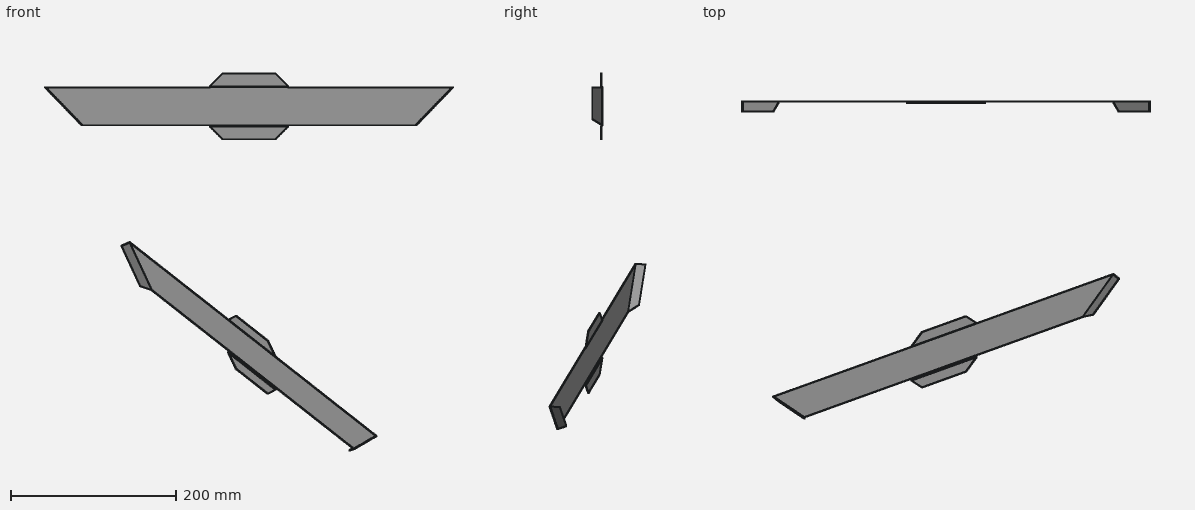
import cadquery as cq
import math

length = 493.5
depth = 13.0
plate_height = 46.0
sheet = 1.0
end_run = 44.5
end_slope = math.atan2(plate_height, end_run)
end_length = math.hypot(plate_height, end_run)
half_length = length / 2
half_height = plate_height / 2

mitre_run = 10.0
flange_width = sheet / math.sin(end_slope)

overall_height = 80.0
tab_base_width = 94.5
tab_offset = 1.5
step_height = 1.5
tab_base_z = half_height + step_height
tab_tip_z = overall_height / 2
tab_taper = tab_tip_z - tab_base_z
half_base = tab_base_width / 2
half_tip = half_base - tab_taper


def extrude_along_y(points, front, back):
    """Extrude an XZ outline between two Y positions."""
    return cq.Workplane("XZ", origin=(0, back, 0)).polyline(points).close().extrude(back - front)


def make_plate():
    outline = [
        (-half_length, half_height),
        (half_length, half_height),
        (half_length - end_run, -half_height),
        (-half_length + end_run, -half_height),
    ]
    return extrude_along_y(outline, 0, sheet)


def make_left_flange():
    outline = [
        (-half_length, half_height),
        (-half_length + flange_width, half_height),
        (-half_length + end_run + flange_width, -half_height),
        (-half_length + end_run, -half_height),
    ]
    front = sheet - depth
    strip = extrude_along_y(outline, front, sheet)
    profile = [
        (0, sheet),
        (0, front),
        (end_length - mitre_run, front),
        (end_length, 0),
        (end_length, sheet),
    ]
    fold_plane = cq.Plane(
        origin=(-half_length, 0, half_height),
        xDir=(math.cos(end_slope), 0, -math.sin(end_slope)),
        normal=(math.sin(end_slope), 0, math.cos(end_slope)),
    )
    trim = cq.Workplane(fold_plane).polyline(profile).close().extrude(sheet)
    return strip.intersect(trim)


def make_upper_tab():
    step_profile = [
        (0, half_height - step_height),
        (sheet, half_height - step_height),
        (sheet, half_height),
        (sheet - tab_offset, tab_base_z),
        (sheet - tab_offset, tab_tip_z),
        (-tab_offset, tab_tip_z),
        (-tab_offset, tab_base_z),
        (0, half_height),
    ]
    folded = cq.Workplane("YZ").polyline(step_profile).close().extrude(half_base, both=True)
    outline = [
        (-half_base, 0),
        (half_base, 0),
        (half_base, tab_base_z),
        (half_tip, tab_tip_z),
        (-half_tip, tab_tip_z),
        (-half_base, tab_base_z),
    ]
    return folded.intersect(extrude_along_y(outline, -depth, depth))


left_flange = make_left_flange()
upper_tab = make_upper_tab()

result = (
    make_plate()
    .union(left_flange)
    .union(left_flange.mirror("YZ"))
    .union(upper_tab)
    .union(upper_tab.mirror("XY"))
)
result = result.translate((0, depth / 2 - sheet, 0))